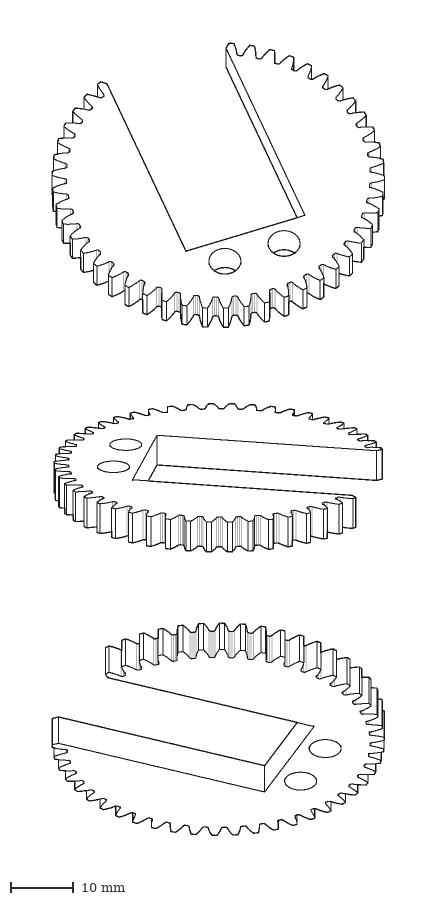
import cadquery as cq
import math

tooth_count = 50
outer_radius = 26.4
thickness = 5.05
pressure_angle = math.radians(20)
addendum_factor = 1.0
dedendum_factor = 1.25
module = outer_radius / (tooth_count / 2 + addendum_factor)
pitch_radius = module * tooth_count / 2
base_radius = pitch_radius * math.cos(pressure_angle)
root_radius = pitch_radius - dedendum_factor * module
root_fillet = 0.3
gap_overrun = 0.25
first_tooth_angle = math.pi / 2
tooth_pitch_angle = 2 * math.pi / tooth_count
flank_steps = 6

slot_width = 20.2
slot_end_x = 12.25

hole_diameter = 5.05
hole_x = 16.3
hole_spacing = 10.05


def involute(angle):
    """Involute function of a pressure angle."""
    return math.tan(angle) - angle


def half_tooth_angle(radius):
    """Angle from the tooth centre line to its involute flank at a radius."""
    flank_angle = math.acos(base_radius / radius)
    return tooth_pitch_angle / 4 + involute(pressure_angle) - involute(flank_angle)


def polar(radius, angle):
    """Point in the XY plane at a radius and angle about the gear axis."""
    return (radius * math.cos(angle), radius * math.sin(angle))


def root_corner(point):
    """Selector for the upright edge where a flank meets the root."""
    return cq.selectors.NearestToPointSelector((*point, thickness / 2))


def tooth_gap(centre_angle):
    """Cutter for the space between two teeth, rounded at the root corners."""
    cut_radius = outer_radius + gap_overrun
    step = (cut_radius - root_radius) / flank_steps
    radii = [root_radius + step * i for i in range(flank_steps + 1)]

    def gap_side(side):
        return [
            polar(r, centre_angle + side * (tooth_pitch_angle / 2 - half_tooth_angle(r)))
            for r in radii
        ]

    right_side = gap_side(-1)
    left_side = gap_side(1)
    return (
        cq.Workplane("XY")
        .moveTo(*right_side[0])
        .spline(right_side[1:], includeCurrent=True)
        .lineTo(*left_side[-1])
        .spline(left_side[-2::-1], includeCurrent=True)
        .threePointArc(polar(root_radius, centre_angle), right_side[0])
        .close()
        .extrude(thickness)
        .edges(root_corner(right_side[0]))
        .fillet(root_fillet)
        .edges(root_corner(left_side[0]))
        .fillet(root_fillet)
    )


def gear_blank():
    """Full gear disc with involute teeth, one of them pointing along +Y."""
    first_gap = tooth_gap(first_tooth_angle + tooth_pitch_angle / 2)
    gaps = [
        first_gap.rotate((0, 0, 0), (0, 0, 1), math.degrees(tooth_pitch_angle) * i).val()
        for i in range(tooth_count)
    ]
    disc = cq.Workplane("XY").circle(outer_radius).extrude(thickness).val()
    return cq.Workplane(disc.cut(*gaps))


def slot():
    """Cutter for the square-ended slot, from the -X rim to its end wall."""
    slot_length = slot_end_x + outer_radius
    return (
        cq.Workplane("XY")
        .center(slot_end_x - slot_length / 2, 0)
        .rect(slot_length, slot_width)
        .extrude(thickness)
    )


def holes():
    """Cutters for two through holes side by side along Y."""
    return (
        cq.Workplane("XY")
        .pushPoints([(hole_x, side * hole_spacing / 2) for side in (-1, 1)])
        .circle(hole_diameter / 2)
        .extrude(thickness)
    )


result = gear_blank().cut(slot()).cut(holes())